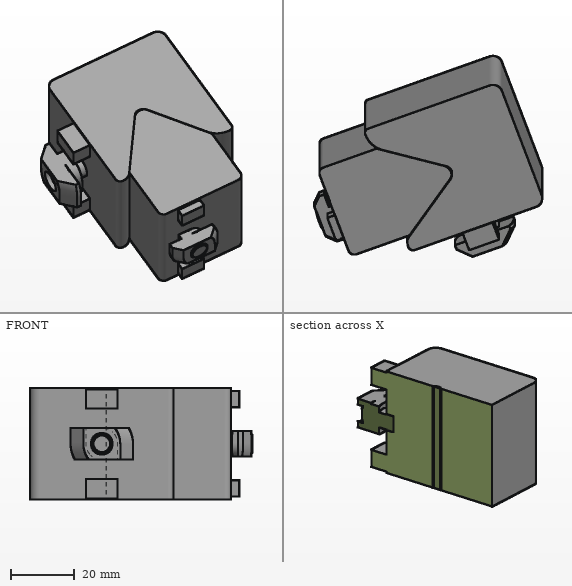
import cadquery as cq
import math


height = 35.0
overall_length = 69.8

block_length = 45.0
block_width = 42.0
block_left_radius = 3.0
front_arm_outer_radius = 1.7
rear_arm_outer_radius = 1.4
rear_arm_inner_radius = 7.7
front_arm_inner_radius = 3.4

joint_y = 20.0
joint_half_angle = math.radians(35.0)
groove_apex_x = 21.8
groove_tip_radius = 2.7
wedge_tip_radius = 2.85
joint_clearance = 0.15

wedge_end_x = 63.0
wedge_width = 30.0
wedge_corner_radius = 2.0
wedge_shoulder_radius = 1.4

block_tab_x = 22.55
block_tab_size = (10.0, 6.0, 6.0)
block_tab_edge_gap = 0.4
wedge_tab_y = 15.1
wedge_tab_size = (7.95, 5.2, 2.6)
wedge_tab_edge_gap = 0.9

screw_diameter = 6.0
shank_diameter = 6.4
screw_chamfer = 0.35

nut_reach = 11.45
nut_neck_start = 2.8
nut_head_start = 6.0
nut_head_length = 19.55
nut_width = 10.0
nut_chamfer = 4.0
nut_tip_arc_radius = 7.95
nut_bore_diameter = 6.7
nut_bore_depth = 2.0
shank_seat_depth = 2.8

stud_reach = 6.35
stud_neck_start = 0.35
stud_head_start = 2.1
stud_head_length = 16.5
stud_width = 8.0
stud_chamfer = 2.6
stud_tip_arc_radius = 6.4


def vertical_prism(outline):
    """Extrude an XY outline through the full height."""
    return outline.close().extrude(height / 2, both=True)


def fillet_upright(body, x, y, radius):
    """Round the upright edge standing at (x, y)."""
    reach = 0.1
    picker = cq.selectors.BoxSelector(
        (x - reach, y - reach, -height), (x + reach, y + reach, height), boundingbox=False
    )
    return body.edges(picker).fillet(radius)


def joint_offset(x):
    """Half-opening of the V at a given x."""
    return (x - groove_apex_x) * math.tan(joint_half_angle)


def tab_pair(size, edge_gap):
    """Two tabs on an XY face plane, local Y along Z of the part, standing out in local Z."""
    width, tab_height, reach = size
    offset = height / 2 - edge_gap - tab_height / 2
    return (
        cq.Workplane("XY")
        .pushPoints([(0, offset), (0, -offset)])
        .rect(width, tab_height)
        .extrude(reach)
    )


def cylinder(diameter, start, end):
    """Round bar on the local Z axis."""
    return cq.Workplane("XY").workplane(offset=start).circle(diameter / 2).extrude(end - start)


def half_outline(half_length, half_width, arc_radius, inner_end):
    """Half of a T-head outline, its +X +Y corner rounded by an arc centred on the X axis."""
    arc_centre = half_length - arc_radius
    corner_x = arc_centre + math.sqrt(arc_radius**2 - half_width**2)
    mid_angle = math.asin(half_width / arc_radius) / 2
    arc_middle = (arc_centre + arc_radius * math.cos(mid_angle), arc_radius * math.sin(mid_angle))
    return (
        cq.Workplane("XY")
        .moveTo(inner_end, -half_width)
        .lineTo(half_length, -half_width)
        .lineTo(half_length, 0)
        .threePointArc(arc_middle, (corner_x, half_width))
        .lineTo(inner_end, half_width)
        .close()
    )


def both_halves(half):
    """Complete a half-shape with its copy turned half a turn about local Z."""
    return half.union(half.rotate((0, 0, 0), (0, 0, 1), 180))


def t_head(neck_start, head_start, reach, length, width, chamfer, tip_arc_radius):
    """Neck and bevelled head, turnable into a slot, standing out in local Z."""
    neck = cylinder(width, neck_start, head_start)
    square = cq.Workplane("XY").rect(width / 2, width / 2, centered=False)
    square_quarter = square.extrude(head_start - neck_start).translate((0, -width / 2, neck_start))
    neck = neck.union(both_halves(square_quarter))

    depth = reach - head_start
    straight = half_outline(length / 2, width / 2, length / 2, 0).extrude(depth)
    lean = cq.Vector(-depth, 0, depth)
    foot_length = length / 2 - chamfer + depth
    foot = half_outline(foot_length, width / 2, tip_arc_radius, -length)
    bevel = cq.Solid.extrudeLinear(foot.wires().val(), [], lean)
    head_half = straight.intersect(cq.Workplane(obj=bevel))
    return neck.union(both_halves(head_half).translate((0, 0, head_start)))


def onto_block_face(shape):
    """Carry a shape from the local frame to the front face of the block."""
    return shape.rotate((0, 0, 0), (1, 0, 0), 90).translate((block_tab_x, 0, 0))


def onto_wedge_end(shape):
    """Carry a shape from the local frame to the right end of the wedge."""
    upright = shape.rotate((0, 0, 0), (1, 0, 0), 90)
    return upright.rotate((0, 0, 0), (0, 0, 1), 90).translate((wedge_end_x, wedge_tab_y, 0))


def make_block():
    arm_offset = joint_offset(block_length)
    front_lip = joint_y - arm_offset
    rear_lip = joint_y + arm_offset
    block = vertical_prism(
        cq.Workplane("XY").polyline([
            (0, 0),
            (block_length, 0),
            (block_length, front_lip),
            (groove_apex_x, joint_y),
            (block_length, rear_lip),
            (block_length, block_width),
            (0, block_width),
        ])
    )
    block = fillet_upright(block, 0, 0, block_left_radius)
    block = fillet_upright(block, 0, block_width, block_left_radius)
    block = fillet_upright(block, groove_apex_x, joint_y, groove_tip_radius)
    block = fillet_upright(block, block_length, 0, front_arm_outer_radius)
    block = fillet_upright(block, block_length, block_width, rear_arm_outer_radius)
    block = fillet_upright(block, block_length, front_lip, front_arm_inner_radius)
    block = fillet_upright(block, block_length, rear_lip, rear_arm_inner_radius)

    block = block.union(onto_block_face(tab_pair(block_tab_size, block_tab_edge_gap)))
    return block.cut(onto_block_face(cylinder(shank_diameter, -shank_seat_depth, 0)))


def make_nut():
    """Large T-nut with its screw."""
    nut = t_head(
        nut_neck_start, nut_head_start, nut_reach,
        nut_head_length, nut_width, nut_chamfer, nut_tip_arc_radius,
    )
    nut = nut.union(cylinder(shank_diameter, -shank_seat_depth, nut_neck_start))
    bore_floor = nut_reach - nut_bore_depth
    nut = nut.cut(cylinder(nut_bore_diameter, bore_floor, nut_reach))
    screw_tip = cylinder(screw_diameter, nut_neck_start, bore_floor + screw_chamfer)
    nut = nut.union(screw_tip.faces(">Z").chamfer(screw_chamfer))
    return onto_block_face(nut)


def make_wedge():
    """Wedge with its tabs and T-head stud."""
    half_width = wedge_width / 2
    apex_x = groove_apex_x + joint_clearance
    shoulder_x = apex_x + half_width / math.tan(joint_half_angle)
    front = joint_y - half_width
    rear = joint_y + half_width
    wedge = vertical_prism(
        cq.Workplane("XY").polyline([
            (apex_x, joint_y),
            (shoulder_x, front),
            (wedge_end_x, front),
            (wedge_end_x, rear),
            (shoulder_x, rear),
        ])
    )
    wedge = fillet_upright(wedge, apex_x, joint_y, wedge_tip_radius)
    for y in (front, rear):
        wedge = fillet_upright(wedge, wedge_end_x, y, wedge_corner_radius)
        wedge = fillet_upright(wedge, shoulder_x, y, wedge_shoulder_radius)

    stud = t_head(
        stud_neck_start, stud_head_start, stud_reach,
        stud_head_length, stud_width, stud_chamfer, stud_tip_arc_radius,
    )
    stud = stud.union(cylinder(shank_diameter, 0, stud_neck_start))
    screw_tip = cylinder(screw_diameter, stud_head_start, overall_length - wedge_end_x)
    stud = stud.union(screw_tip.faces(">Z").chamfer(screw_chamfer))

    wedge = wedge.union(onto_wedge_end(tab_pair(wedge_tab_size, wedge_tab_edge_gap)))
    return wedge.union(onto_wedge_end(stud))


block = make_block()
wedge = make_wedge()
nut = make_nut()

result = cq.Compound.makeCompound([block.val(), wedge.val(), nut.val()])